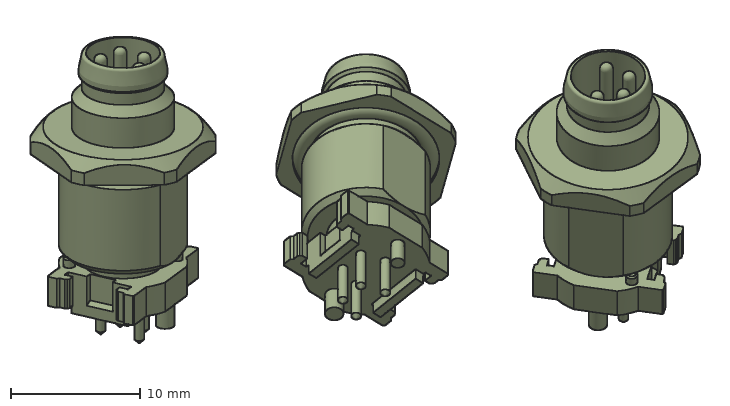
import cadquery as cq
import math

TIP_Z = 0.0
LOWER_PEG_END_Z = 1.8
FOOT_BOTTOM_Z = 2.9
BASE_BOTTOM_Z = 3.85
BASE_TOP_Z = 6.33
UPPER_PEG_TOP_Z = 7.12
HOUSING_BOTTOM_Z = 7.4
NECK_BOTTOM_Z = 15.4
HEX_BOTTOM_Z = 15.82
HEX_TOP_Z = 17.85
COLLAR_TOP_Z = 21.15
BEAD_BOTTOM_Z = 22.15
BEAD_BELT_Z = 22.85
CAVITY_FLOOR_Z = 19.15
PIN_TOP_Z = 23.79
RIM_Z = 24.15

BORE_R = 2.87
UNDERCUT_R = 3.2
RIM_R = 3.19
RIM_ROUND = 0.22
BEAD_R = 3.45
COLLAR_R = 3.98
NECK_R = 4.35
BARREL_R = 5.0
BARREL_FLAT = 9.0
BARREL_BOTTOM_CHAMFER = 0.48
HEX_ACROSS_FLATS = 13.0
HEX_CORNER_R = 7.2
HEX_FACE_R = 6.2

RING_SECTION_R = 0.68
RING_PROTRUSION = 0.25

BOSS_R = 3.07
BASE_DISC_R = 5.0
BASE_FLAT = 9.4
EAR_X = 3.85
EAR_Y = 5.2
EAR_MID_X = 3.77
EAR_MID_Y = 5.17
EAR_SIDE_END_Y = 5.1
EAR_FACE_OUTER_X = 3.65
EAR_STEP = 0.2
EAR_FACE_INNER_X = 3.0
WALL_Y = 3.7
SLOT_END_X = 2.8
HOOK_INNER_Y = 4.25
HOOK_TIP_X = 2.08
HOOK_TIP_Y = 4.75
HOOK_MID_X = 2.2
HOOK_MID_Y = 4.9
HOOK_ROUND_END_X = 2.37
WINDOW_WIDTH = 2.3
WINDOW_DEPTH = 0.5
WINDOW_SILL_RISE = 0.27

FOOT_HALF_X = 2.5
FOOT_INNER_Y = 2.92
FOOT_FLARE = 0.07
FOOT_FLARE_HEIGHT = 0.25

UPPER_PEG_X = 3.33
UPPER_PEG_Y = 2.58
UPPER_PEG_R = 0.45
UPPER_PEG_CHAMFER = 0.15
LOWER_PEG_X = 3.75
THIN_PEG_R = 0.53
THICK_PEG_R = 0.72

PIN_R = 0.5
PIN_ROUND = 0.4
TAIL_R = 0.39
BACK_PIN_X = 1.06
BACK_PIN_Y = 1.45
FRONT_PIN_X = 1.71
FRONT_PIN_Y = -0.48
PIN_PLACES = [
    (-BACK_PIN_X, BACK_PIN_Y),
    (BACK_PIN_X, BACK_PIN_Y),
    (-FRONT_PIN_X, FRONT_PIN_Y),
    (FRONT_PIN_X, FRONT_PIN_Y),
]

RING_R = NECK_R + RING_SECTION_R
RING_Z = HEX_BOTTOM_Z - RING_PROTRUSION + RING_SECTION_R


def cylinder(radius, bottom, top, x=0.0, y=0.0):
    return cq.Workplane("XY", origin=(x, y, bottom)).circle(radius).extrude(top - bottom)


def block(x_range, y_range, z_range):
    sizes = [high - low for low, high in (x_range, y_range, z_range)]
    corner = (x_range[0], y_range[0], z_range[0])
    return cq.Workplane("XY").box(*sizes, centered=False).translate(corner)


def revolve_profile(points):
    """Turn a closed (radius, height) profile about the Z axis."""
    return cq.Workplane("XZ").polyline(points).close().revolve(360, (0, 0, 0), (0, 1, 0))


def in_all_quadrants(shape):
    right_pair = shape.union(shape.mirror("XZ"))
    return right_pair.union(right_pair.mirror("YZ"))


def make_barrel():
    barrel_chamfer = BARREL_R - NECK_R
    barrel = revolve_profile([
        (0, HOUSING_BOTTOM_Z),
        (BARREL_R - BARREL_BOTTOM_CHAMFER, HOUSING_BOTTOM_Z),
        (BARREL_R, HOUSING_BOTTOM_Z + BARREL_BOTTOM_CHAMFER),
        (BARREL_R, NECK_BOTTOM_Z - barrel_chamfer),
        (NECK_R, NECK_BOTTOM_Z),
        (NECK_R, HEX_BOTTOM_Z),
        (0, HEX_BOTTOM_Z),
    ])
    half_flat = BARREL_FLAT / 2
    return barrel.intersect(block(
        (-half_flat, half_flat), (-BARREL_R, BARREL_R), (HOUSING_BOTTOM_Z, HEX_BOTTOM_Z)
    ))


def make_hexagon():
    corner_diameter = HEX_ACROSS_FLATS / math.cos(math.pi / 6)
    hexagon = (
        cq.Workplane("XY", origin=(0, 0, HEX_BOTTOM_Z))
        .polygon(6, corner_diameter)
        .extrude(HEX_TOP_Z - HEX_BOTTOM_Z)
        .rotate((0, 0, 0), (0, 0, 1), 30)
    )
    turned_blank = revolve_profile([
        (0, HEX_BOTTOM_Z),
        (HEX_CORNER_R, HEX_BOTTOM_Z),
        (HEX_CORNER_R, HEX_TOP_Z - (HEX_CORNER_R - HEX_FACE_R)),
        (HEX_FACE_R, HEX_TOP_Z),
        (0, HEX_TOP_Z),
    ])
    ring_groove = (
        cylinder(RING_R + RING_SECTION_R, HEX_BOTTOM_Z, RING_Z + RING_SECTION_R)
        .cut(cylinder(NECK_R, HEX_BOTTOM_Z, RING_Z + RING_SECTION_R))
    )
    return hexagon.intersect(turned_blank).cut(ring_groove)


def make_plug_end():
    plug_end = revolve_profile([
        (0, HEX_TOP_Z),
        (COLLAR_R, HEX_TOP_Z),
        (COLLAR_R, COLLAR_TOP_Z - (COLLAR_R - UNDERCUT_R)),
        (UNDERCUT_R, COLLAR_TOP_Z),
        (UNDERCUT_R, BEAD_BOTTOM_Z),
        (BEAD_R, BEAD_BOTTOM_Z + (BEAD_R - UNDERCUT_R)),
        (BEAD_R, BEAD_BELT_Z),
        (RIM_R, RIM_Z),
        (0, RIM_Z),
    ])
    return plug_end.faces(">Z").edges().fillet(RIM_ROUND)


def make_housing():
    bore = cylinder(BORE_R, HOUSING_BOTTOM_Z, RIM_Z)
    return make_barrel().union(make_hexagon()).union(make_plug_end()).cut(bore)


def make_sealing_ring():
    return (
        cq.Workplane("XZ")
        .center(RING_R, RING_Z)
        .circle(RING_SECTION_R)
        .revolve(360, (-RING_R, 0, 0), (-RING_R, 1, 0))
    )


def make_ear():
    """One corner ear, with a hook that reaches towards the middle."""
    step_y = EAR_Y - EAR_STEP
    outline = [
        (SLOT_END_X, 0),
        (EAR_X, 0),
        (EAR_X, EAR_SIDE_END_Y),
        (EAR_MID_X, EAR_MID_Y),
        (EAR_FACE_OUTER_X, EAR_Y),
        (EAR_FACE_INNER_X, EAR_Y),
        (EAR_FACE_INNER_X - EAR_STEP, step_y),
        (HOOK_ROUND_END_X, step_y),
        (HOOK_MID_X, HOOK_MID_Y),
        (HOOK_TIP_X, HOOK_TIP_Y),
        (HOOK_TIP_X, HOOK_INNER_Y),
        (SLOT_END_X, HOOK_INNER_Y),
    ]
    return (
        cq.Workplane("XY", origin=(0, 0, BASE_BOTTOM_Z))
        .polyline(outline)
        .close()
        .extrude(BASE_TOP_Z - BASE_BOTTOM_Z)
    )


def make_window():
    """The cutter for the recess in the -Y wall; its sill slopes down outwards."""
    back_y = -WALL_Y + WINDOW_DEPTH
    return (
        cq.Workplane("YZ")
        .polyline([
            (-WALL_Y, BASE_BOTTOM_Z),
            (back_y, BASE_BOTTOM_Z + WINDOW_SILL_RISE),
            (back_y, BASE_TOP_Z),
            (-WALL_Y, BASE_TOP_Z),
        ])
        .close()
        .extrude(WINDOW_WIDTH / 2, both=True)
    )


def make_foot():
    """The foot under the -Y wall, flared at its ends and on its inner side."""
    foot = block(
        (-FOOT_HALF_X, FOOT_HALF_X), (-WALL_Y, -FOOT_INNER_Y), (FOOT_BOTTOM_Z, BASE_BOTTOM_Z)
    )
    width = 2 * FOOT_HALF_X
    depth = WALL_Y - FOOT_INNER_Y
    flare = (
        cq.Workplane("XY", origin=(0, -WALL_Y + depth / 2, BASE_BOTTOM_Z - FOOT_FLARE_HEIGHT))
        .rect(width, depth)
        .workplane(offset=FOOT_FLARE_HEIGHT)
        .center(0, FOOT_FLARE / 2)
        .rect(width + 2 * FOOT_FLARE, depth + FOOT_FLARE)
        .loft(ruled=True)
    )
    return foot.union(flare)


def make_base():
    half_flat = BASE_FLAT / 2
    base_z = (BASE_BOTTOM_Z, BASE_TOP_Z)
    disc = cylinder(BASE_DISC_R, *base_z)
    base = disc.intersect(block((-half_flat, half_flat), (-WALL_Y, WALL_Y), base_z))
    base = base.union(in_all_quadrants(make_ear()))
    window = make_window()
    foot = make_foot()
    for wall_window in (window, window.mirror("XZ")):
        base = base.cut(wall_window)
    for wall_foot in (foot, foot.mirror("XZ")):
        base = base.union(wall_foot)
    return base


def make_upper_peg(x, y):
    peg = cylinder(UPPER_PEG_R, BASE_TOP_Z, UPPER_PEG_TOP_Z, x, y)
    return peg.faces(">Z").chamfer(UPPER_PEG_CHAMFER)


def make_contact(x, y):
    """The round-nosed pin in the cavity and its pointed tail under the base."""
    pin = cylinder(PIN_R, CAVITY_FLOOR_Z, PIN_TOP_Z, x, y).faces(">Z").edges().fillet(PIN_ROUND)
    tail = revolve_profile([
        (0, TIP_Z),
        (TAIL_R, TIP_Z + TAIL_R),
        (TAIL_R, BASE_BOTTOM_Z),
        (0, BASE_BOTTOM_Z),
    ])
    return pin, tail.translate((x, y, 0))


def make_insert():
    insert = make_base()
    insert = insert.union(cylinder(BOSS_R, BASE_TOP_Z, HOUSING_BOTTOM_Z))
    insert = insert.union(cylinder(BORE_R, HOUSING_BOTTOM_Z, CAVITY_FLOOR_Z))
    for side in (-1, 1):
        insert = insert.union(make_upper_peg(side * UPPER_PEG_X, side * UPPER_PEG_Y))
    for x, radius in ((-LOWER_PEG_X, THIN_PEG_R), (LOWER_PEG_X, THICK_PEG_R)):
        insert = insert.union(cylinder(radius, LOWER_PEG_END_Z, BASE_BOTTOM_Z, x))
    for x, y in PIN_PLACES:
        pin, tail = make_contact(x, y)
        insert = insert.union(pin).union(tail)
    return insert


housing = make_housing()
sealing_ring = make_sealing_ring()
insert = make_insert()

result = cq.Compound.makeCompound([housing.val(), sealing_ring.val(), insert.val()])